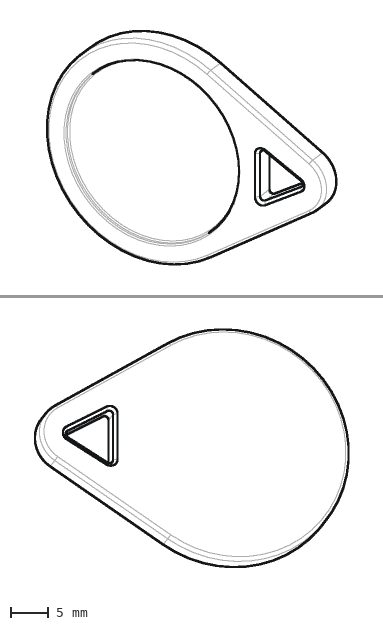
import cadquery as cq
import math

length = 41.95
thickness = 3.6
disc_radius = 16.0
tip_radius = 4.5
edge_fillet = 0.5

recess_diameter = 26.0
recess_depth = 0.8
recess_fillet = 0.2

hole_left_face = 16.0
hole_inradius = 2.3
hole_corner_radius = 0.5
hole_chamfer = 0.5

tip_distance = length - disc_radius - tip_radius
tangent_angle = math.acos((disc_radius - tip_radius) / tip_distance)
hole_center = hole_left_face + hole_inradius


def front_plane():
    """Sketch plane on the front face, with the disc centre at its origin and its normal along -Y."""
    return cq.Workplane("XZ")


def polar_point(center_x, radius, angle):
    return (center_x + radius * math.cos(angle), radius * math.sin(angle))


def make_body():
    return (
        front_plane()
        .moveTo(*polar_point(0, disc_radius, tangent_angle))
        .threePointArc((-disc_radius, 0), polar_point(0, disc_radius, -tangent_angle))
        .lineTo(*polar_point(tip_distance, tip_radius, -tangent_angle))
        .threePointArc(
            (tip_distance + tip_radius, 0),
            polar_point(tip_distance, tip_radius, tangent_angle),
        )
        .close()
        .extrude(-thickness)
        .faces("<Y or >Y")
        .edges()
        .fillet(edge_fillet)
    )


def cut_recess(body):
    """Sink the round recess, with its floor corner and its rim both rounded."""
    wall = recess_diameter / 2
    arc_middle = recess_fillet * math.sqrt(0.5)
    floor_center = (wall - recess_fillet, recess_depth - recess_fillet)
    rim_center = (wall + recess_fillet, recess_fillet)
    recess = (
        cq.Workplane("XY")
        .lineTo(0, recess_depth)
        .lineTo(wall - recess_fillet, recess_depth)
        .threePointArc(
            (floor_center[0] + arc_middle, floor_center[1] + arc_middle),
            (wall, floor_center[1]),
        )
        .lineTo(wall, rim_center[1])
        .threePointArc(
            (rim_center[0] - arc_middle, rim_center[1] - arc_middle),
            (rim_center[0], 0),
        )
        .close()
        .revolve(360, (0, 0, 0), (0, 1, 0))
    )
    return body.cut(recess)


def make_triangle_prism():
    """Equilateral prism with rounded corners, pointing to +X and as deep as the body."""
    corner_distance = 2 * hole_inradius
    corners = [polar_point(hole_center, corner_distance, math.radians(angle)) for angle in (0, 120, 240)]
    return (
        front_plane()
        .polyline(corners)
        .close()
        .extrude(-thickness)
        .edges("|Y")
        .fillet(hole_corner_radius)
    )


def cut_keyring_hole(body):
    """Cut the triangular hole through the body and chamfer both of its rims."""
    pierced = body.cut(make_triangle_prism())
    around_hole = cq.selectors.BoxSelector(
        (hole_left_face - hole_chamfer, -hole_chamfer, -2 * hole_inradius),
        (hole_center + 2 * hole_inradius, thickness + hole_chamfer, 2 * hole_inradius),
    )
    rims = pierced.faces("<Y or >Y").edges(around_hole)
    return rims.chamfer(hole_chamfer)


result = cut_keyring_hole(cut_recess(make_body()))